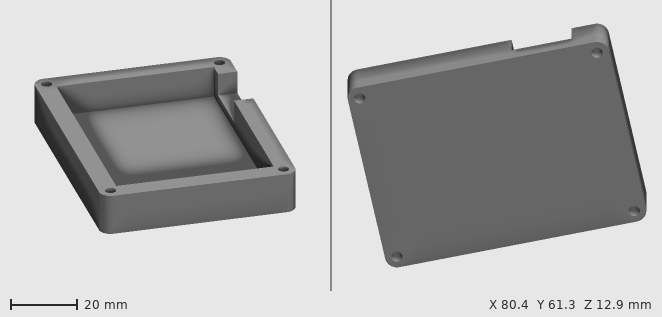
import cadquery as cq

length = 80.4
width = 61.3
height = 12.9
corner_radius = 3.6

wall = 6.0
floor_thickness = 2.9

hole_diameter = 3.4
hole_inset = 3.6

notch_start = 10.8
notch_length = 18.4
notch_depth = 7.2


def make_block():
    """Block with rounded vertical edges, standing on Z = 0."""
    block = cq.Workplane("XY").box(length, width, height, centered=(True, True, False))
    return block.edges("|Z").fillet(corner_radius)


def make_pocket():
    """Rectangular cavity leaving an even wall all round."""
    return (
        cq.Workplane("XY")
        .workplane(offset=floor_thickness)
        .rect(length - 2 * wall, width - 2 * wall)
        .extrude(height - floor_thickness)
    )


def make_notch():
    """Opening from the rear side into the pocket."""
    return (
        cq.Workplane("XY")
        .box(notch_length, wall, notch_depth, centered=False)
        .translate((notch_start - length / 2, width / 2 - wall, height - notch_depth))
    )


def make_corner_holes():
    """Four through holes, one near each corner."""
    return (
        cq.Workplane("XY")
        .rect(length - 2 * hole_inset, width - 2 * hole_inset, forConstruction=True)
        .vertices()
        .circle(hole_diameter / 2)
        .extrude(height)
    )


result = make_block().cut(make_pocket()).cut(make_notch()).cut(make_corner_holes())